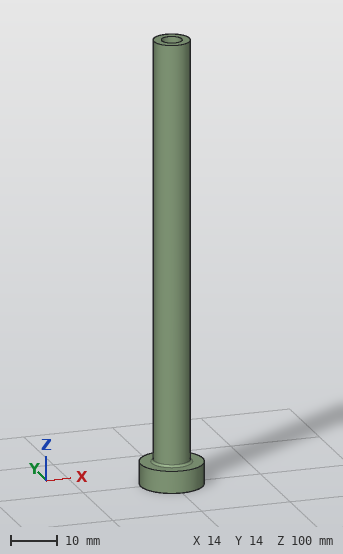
import cadquery as cq

total_length = 100.0
head_diameter = 14.0
head_height = 5.0
tube_diameter = 8.0
bore_diameter = 4.5
root_fillet_radius = 0.5

head_radius = head_diameter / 2
tube_radius = tube_diameter / 2
bore_radius = bore_diameter / 2

half_section = (
    cq.Workplane("XZ")
    .moveTo(bore_radius, 0)
    .lineTo(head_radius, 0)
    .lineTo(head_radius, head_height)
    .lineTo(tube_radius + root_fillet_radius, head_height)
    .radiusArc((tube_radius, head_height + root_fillet_radius), root_fillet_radius)
    .lineTo(tube_radius, total_length)
    .lineTo(bore_radius, total_length)
    .close()
)

result = half_section.revolve(360, (0, 0), (0, 1))